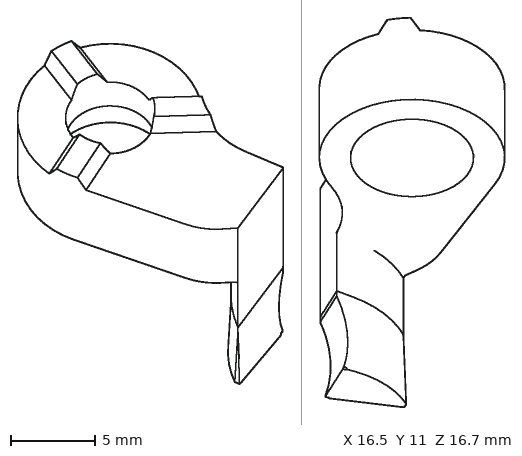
import cadquery as cq
import math

HEAD_RADIUS = 5.503
DECK_Z = 5.31
CREST_Z = 6.25
ARM_BACK_Y = 1.55
ARM_BACK_BLEND = 5.0
FRONT_WALL_ANGLE = math.radians(4.7)
FRONT_ARC_START_X = 7.65
FRONT_ARC_END = (9.85, -4.11)
END_FRONT = (10.52, -3.68)
END_BACK = (10.8, ARM_BACK_Y)

BORE_RADIUS = 5.3 / 2
COUNTERBORE_RADIUS = 7.3 / 2
SHOULDER_ANGLE = 45
SHOULDER_TOP_Z = 3.16
SHOULDER_LIP_ROUND = 0.6
SHOULDER_ROOT_ROUND = 0.25

RIDGE_COUNT = 3
RIDGE_FIRST_ANGLE = 30
RIDGE_BASE_WIDTH = 2.5
RIDGE_CREST_WIDTH = 1.4
RIDGE_REACH = 8.32

LEG_BACK_CORNER = (8.15, ARM_BACK_Y)
LEG_FLAT_END = (8.31, 0.45)
LEG_ROOT_FILLET = 0.18
JOINT_Z = -4.5
FLARE_Z = -4.88
TIP_Z = -10.4
TIP_FLARE = 2.1
TIP_FRONT_BOTTOM = (-3.78, -9.85)
NOTCH_MIDDLE = (0.85, -8.08)
TIP_POINT_Y = 1.2
CORNER_WIDTH = 0.1
CORNER_HEIGHT = 0.2
CORNER_LENGTH = 0.25
TRIM = 3.33


def head_outline():
    """Ring and arm outline, from the front tangent point counterclockwise."""
    front = (HEAD_RADIUS * math.sin(FRONT_WALL_ANGLE), -HEAD_RADIUS * math.cos(FRONT_WALL_ANGLE))
    front_arc_start = (
        FRONT_ARC_START_X,
        front[1] + (FRONT_ARC_START_X - front[0]) * math.tan(FRONT_WALL_ANGLE),
    )
    blend_y = ARM_BACK_Y + ARM_BACK_BLEND
    center_distance = HEAD_RADIUS + ARM_BACK_BLEND
    blend_x = math.sqrt(center_distance**2 - blend_y**2)
    ring_share = HEAD_RADIUS / center_distance
    ring_touch = (blend_x * ring_share, blend_y * ring_share)
    return (
        cq.Workplane("XY")
        .moveTo(*front)
        .lineTo(*front_arc_start)
        .tangentArcPoint(FRONT_ARC_END, relative=False)
        .lineTo(*END_FRONT)
        .lineTo(*END_BACK)
        .lineTo(blend_x, ARM_BACK_Y)
        .tangentArcPoint(ring_touch, relative=False)
        .threePointArc((-HEAD_RADIUS, 0), front)
        .close()
    )


def leg_outline(z):
    """Leg section: flat and round inner side, slanted outer end."""
    return (
        cq.Workplane("XY", origin=(0, 0, z))
        .moveTo(*LEG_BACK_CORNER)
        .lineTo(*LEG_FLAT_END)
        .tangentArcPoint(END_FRONT, relative=False)
        .lineTo(*END_BACK)
        .close()
    )


def make_ridges():
    """Tapered radial bars, trimmed to the head outline."""
    base = RIDGE_BASE_WIDTH / 2
    crest = RIDGE_CREST_WIDTH / 2
    bar = (
        cq.Workplane("YZ")
        .polyline([(-base, DECK_Z), (base, DECK_Z), (crest, CREST_Z), (-crest, CREST_Z)])
        .close()
        .extrude(RIDGE_REACH)
    )
    ridges = cq.Workplane("XY")
    for index in range(RIDGE_COUNT):
        angle = RIDGE_FIRST_ANGLE + index * 360 / RIDGE_COUNT
        ridges = ridges.add(bar.rotate((0, 0, 0), (0, 0, 1), angle))
    return ridges.combine().intersect(head_outline().extrude(CREST_Z))


def make_bore():
    """Revolved bore and counterbore, joined by the rounded 45 degree shoulder."""
    slope = math.radians(SHOULDER_ANGLE)
    along = math.sin(slope)
    across = 1 - math.cos(slope)
    lip_end = (
        BORE_RADIUS + SHOULDER_LIP_ROUND * across,
        SHOULDER_TOP_Z - SHOULDER_LIP_ROUND * along,
    )
    root_start_radius = COUNTERBORE_RADIUS - SHOULDER_ROOT_ROUND * across
    root_start = (root_start_radius, lip_end[1] - (root_start_radius - lip_end[0]) / math.tan(slope))
    root_end = (COUNTERBORE_RADIUS, root_start[1] - SHOULDER_ROOT_ROUND * along)
    return (
        cq.Workplane("XZ")
        .moveTo(0, CREST_Z)
        .lineTo(BORE_RADIUS, CREST_Z)
        .lineTo(BORE_RADIUS, SHOULDER_TOP_Z)
        .tangentArcPoint(lip_end, relative=False)
        .lineTo(*root_start)
        .tangentArcPoint(root_end, relative=False)
        .lineTo(COUNTERBORE_RADIUS, 0)
        .lineTo(0, 0)
        .close()
        .revolve(360, (0, 0, 0), (0, 1, 0))
    )


def make_holder():
    """Head, arm, leg and ridges as one solid."""
    body = head_outline().extrude(DECK_Z).union(leg_outline(0).extrude(JOINT_Z))
    root_point = (
        (LEG_BACK_CORNER[0] + LEG_FLAT_END[0]) / 2,
        (LEG_BACK_CORNER[1] + LEG_FLAT_END[1]) / 2,
        0,
    )
    body = body.edges(cq.selectors.NearestToPointSelector(root_point)).fillet(LEG_ROOT_FILLET)
    return body.union(make_ridges()).cut(make_bore())


def make_tip():
    """Flared tip with a straight neck, a hollow back, a slanted bottom and cut corners."""
    neck = leg_outline(JOINT_Z).extrude(FLARE_Z - JOINT_Z)
    blank = leg_outline(FLARE_Z).extrude(TIP_Z - FLARE_Z, taper=-TIP_FLARE)
    profile = (
        cq.Workplane("YZ")
        .moveTo(END_FRONT[1], FLARE_Z)
        .lineTo(*TIP_FRONT_BOTTOM)
        .lineTo(TIP_POINT_Y, TIP_Z)
        .threePointArc(NOTCH_MIDDLE, (ARM_BACK_Y, FLARE_Z))
        .close()
        .extrude(END_BACK[0] + TRIM)
    )
    tip = blank.intersect(profile).union(neck)
    bounds = tip.val().BoundingBox()
    for edge_x, inward in ((bounds.xmin, 1), (bounds.xmax, -1)):
        corner = (
            cq.Workplane("XZ", origin=(0, TIP_POINT_Y, 0))
            .polyline([
                (edge_x, TIP_Z + CORNER_HEIGHT),
                (edge_x + inward * CORNER_WIDTH, TIP_Z),
                (edge_x, TIP_Z),
            ])
            .close()
            .extrude(CORNER_LENGTH)
        )
        tip = tip.cut(corner)
    return tip


holder = make_holder()
tip = make_tip()
result = cq.Compound.makeCompound([holder.val(), tip.val()])